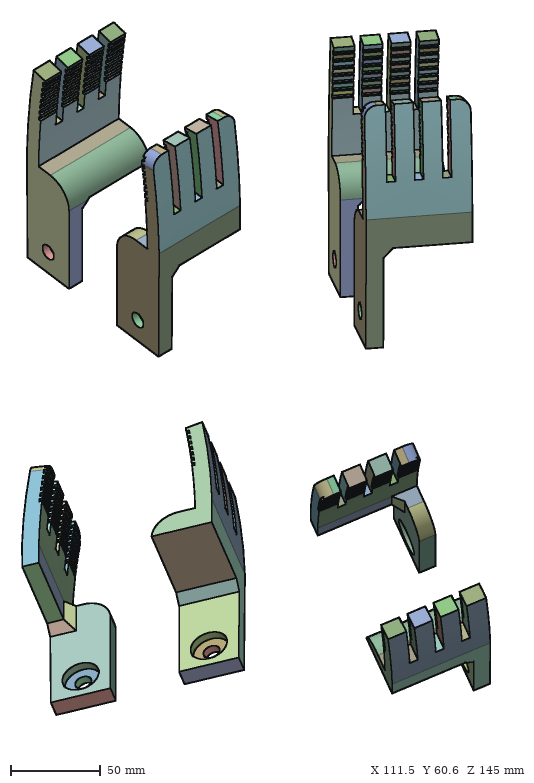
import cadquery as cq
import math

total_height = 145.0
half_span = 111.5 / 2
left_depth = 60.0
right_depth = 60.6

plate_inner_x = 20.2
plate_outer_x = 55.2
plate_thickness = 10.0
hole_diameter = 9.5
hole_height = 15.8
counterbore_diameter = 21.5
counterbore_depth = 5.0

shelf_top = 75.1
shelf_bottom = 60.0
shelf_radius = 16.0
corner_chamfer = 5.5

outer_radius = 536.5
wall_thickness = 10.0
arc_center_z = 66.0
curve_start = 78.6
tip_tilt = 10.5

slot_width = 5.0
slot_pitch = 16.0
first_slot_y = 12.0
slot_count = 3
slot_bottom = 100.0

notch_count = 7
notch_height = 2.0
notch_depth = 1.6
notch_pitch = 4.6
top_notch_height = 139.3

tip_radius = 7.2

inner_radius = outer_radius - wall_thickness
arc_center_x = math.sqrt(outer_radius**2 - (curve_start - arc_center_z) ** 2) - half_span


def arc_x(radius, height):
    """X of a left wall arc at a given height."""
    return arc_center_x - math.sqrt(radius**2 - (height - arc_center_z) ** 2)


def jaw_outline():
    """Left jaw seen from the front: plate, rounded shelf and curved finger wall."""
    outer_mid_z = (curve_start + total_height) / 2
    inner_tip_z = total_height - wall_thickness * math.sin(math.radians(tip_tilt))
    inner_mid_z = (shelf_top + inner_tip_z) / 2
    return (
        cq.Workplane("XZ")
        .moveTo(-plate_outer_x, 0)
        .lineTo(-half_span, curve_start)
        .threePointArc(
            (arc_x(outer_radius, outer_mid_z), outer_mid_z),
            (arc_x(outer_radius, total_height), total_height),
        )
        .lineTo(arc_x(inner_radius, inner_tip_z), inner_tip_z)
        .threePointArc(
            (arc_x(inner_radius, inner_mid_z), inner_mid_z),
            (arc_x(inner_radius, shelf_top), shelf_top),
        )
        .lineTo(-plate_inner_x - shelf_radius, shelf_top)
        .radiusArc((-plate_inner_x, shelf_top - shelf_radius), shelf_radius)
        .lineTo(-plate_inner_x, 0)
        .close()
    )


def space_under_shelf(depth):
    """Space behind the plate and below the shelf, with its inner corner chamfered."""
    return (
        cq.Workplane("YZ", origin=(-half_span, 0, 0))
        .moveTo(plate_thickness, 0)
        .lineTo(plate_thickness, shelf_bottom - corner_chamfer)
        .lineTo(plate_thickness + corner_chamfer, shelf_bottom)
        .lineTo(depth, shelf_bottom)
        .lineTo(depth, 0)
        .close()
        .extrude(half_span)
    )


def space_behind_plate(depth):
    """Space behind the plate and beside the wall, with its inner corner chamfered."""
    wall_x = arc_x(inner_radius, shelf_top)
    return (
        cq.Workplane("XY")
        .moveTo(0, plate_thickness)
        .lineTo(wall_x + corner_chamfer, plate_thickness)
        .lineTo(wall_x, plate_thickness + corner_chamfer)
        .lineTo(wall_x, depth)
        .lineTo(0, depth)
        .close()
        .extrude(shelf_top)
    )


def pivot_hole():
    """Through hole in the plate with a counterbore sunk from the back face."""
    hole_x = -(plate_inner_x + plate_outer_x) / 2
    axis = cq.Workplane("XZ", origin=(hole_x, plate_thickness, hole_height))
    hole = axis.circle(hole_diameter / 2).extrude(plate_thickness)
    counterbore = axis.circle(counterbore_diameter / 2).extrude(counterbore_depth)
    return hole.union(counterbore)


def jaw_blank(depth):
    """Left jaw with its pivot hole, before the fingers are cut."""
    return jaw_outline().extrude(-depth).cut(space_under_shelf(depth)).cut(pivot_hole())


def round_tip_corners(jaw):
    """Round the two outer corners of the tip face."""
    tip_x = arc_x(outer_radius - wall_thickness / 2, total_height)
    tip_face = jaw.faces(cq.NearestToPointSelector((tip_x, right_depth / 2, total_height)))
    return tip_face.edges("<Y or >Y").fillet(tip_radius)


def cut_slots(jaw):
    """Separate the wall into fingers."""
    for index in range(slot_count):
        slot = cq.Workplane("XY").box(
            half_span, slot_width, total_height - slot_bottom, centered=False
        )
        slot_y = first_slot_y + index * slot_pitch
        jaw = jaw.cut(slot.translate((-half_span, slot_y, slot_bottom)))
    return jaw


def cut_notches(jaw, depth):
    """Cut grip notches square to the inner face of the wall."""
    top_angle = math.degrees(math.asin((top_notch_height - arc_center_z) / inner_radius))
    pitch_angle = math.degrees(notch_pitch / inner_radius)
    arc_center = (arc_center_x, 0, arc_center_z)
    for index in range(notch_count):
        notch = (
            cq.Workplane("XY")
            .box(2 * notch_depth, depth, notch_height)
            .translate((-inner_radius, depth / 2, 0))
            .rotate((0, 0, 0), (0, 1, 0), top_angle - index * pitch_angle)
            .translate(arc_center)
        )
        jaw = jaw.cut(notch)
    return jaw


def make_left_jaw():
    """Jaw with a full-depth shelf and square fingertips."""
    return cut_notches(cut_slots(jaw_blank(left_depth)), left_depth)


def make_right_jaw():
    """Mirrored jaw with the shelf cut back to the plate and rounded fingertips."""
    jaw = jaw_blank(right_depth).cut(space_behind_plate(right_depth))
    jaw = cut_slots(round_tip_corners(jaw))
    return cut_notches(jaw, right_depth).mirror("YZ")


left_jaw = make_left_jaw()
right_jaw = make_right_jaw()

result = cq.Compound.makeCompound([left_jaw.val(), right_jaw.val()])